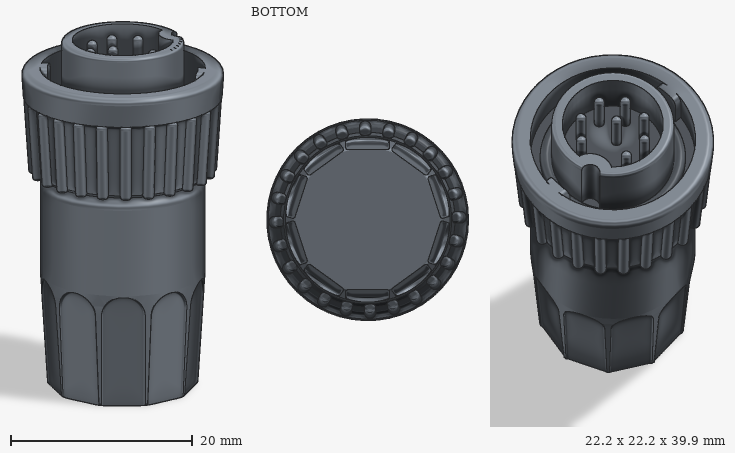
import cadquery as cq
import math

TOTAL_HEIGHT = 39.88
GRIP_TOP = 13.12
BODY_TOP = 24.13

BODY_DIAMETER = 18.15
BODY_RADIUS = BODY_DIAMETER / 2
BODY_TOP_FILLET = 1.1
GRIP_BASE_RADIUS = 8.25
GRIP_BASE_FILLET = 0.4
GRIP_SLOPE = (BODY_RADIUS - GRIP_BASE_RADIUS) / GRIP_TOP

FLAT_COUNT = 10
FLAT_APOTHEM = 7.7
FLAT_FILLET = 0.28
FLAT_HALF_WIDTH = 2.45
FLAT_TOP_GAP = 0.08
FLAT_STRAIGHT = GRIP_TOP - FLAT_HALF_WIDTH - FLAT_TOP_GAP
FLAT_CUT_DEPTH = 2.4
FLAT_OVERRUN = 1.2

NECK_RADIUS = 7.7

NUT_BOTTOM = 24.6
NUT_TOP = 36.6
NUT_DIAMETER = 22.2
NUT_RADIUS = NUT_DIAMETER / 2
NUT_TOP_FILLET = 0.75
NUT_SLOPE = 0.066
BAND_BOTTOM = 33.35
GROOVE_DEPTH = 0.75
BAND_FILLET = 0.6
NUT_BASE_CHAMFER = 0.35
NUT_BORE_RADIUS = 9.1
NUT_FLOOR = 32.6
NUT_CLOCKING = 66.0

RIB_COUNT = 24
RIB_RADIUS = 0.65
RIB_INSET = 0.05
RIB_BOTTOM_FILLET = 0.3
RIB_TOP_FILLET = 0.55
RIB_BAND_OVERLAP = 0.08

LUG_INNER_RADIUS = 8.3
LUG_WIDTH = 3.1
LUG_FILLET = 0.8
LUG_OVERLAP = 0.4

SEAL_RADIUS = 7.38
SEAL_SECTION_RADIUS = 0.65

SHELL_RADIUS = 6.75
SHELL_TOP_FILLET = 0.48
SHELL_BORE_RADIUS = 5.55
SHELL_FLOOR = 34.38
KEY_CENTRE = 6.78
KEY_RADIUS = 2.47
KEYWAY_RADIUS = 1.08

PIN_RADIUS = 0.55
PIN_TIP = 39.25
PIN_CIRCLE_RADIUS = 3.75
PIN_STEP = 45.0
OUTER_PIN_COUNT = 7
INNER_PIN_Y = -1.1
PIN_ROOT = 0.4


def cylinder(radius, bottom, top, x=0, y=0):
    return cq.Workplane("XY", origin=(x, y, bottom)).circle(radius).extrude(top - bottom)


def turn(solid, angle):
    return solid.rotate((0, 0, 0), (0, 0, 1), angle)


def nut_cone_radius(z):
    """Radius of the nut's outer taper at height z."""
    return NUT_RADIUS - NUT_SLOPE * (NUT_TOP - NUT_TOP_FILLET - z)


def make_body():
    """Tapered grip, straight body and neck, without the flats."""
    grip = (
        cq.Workplane("XZ")
        .polyline([(0, 0), (GRIP_BASE_RADIUS, 0), (BODY_RADIUS, GRIP_TOP), (0, GRIP_TOP)])
        .close()
        .revolve()
        .faces("<Z")
        .edges()
        .fillet(GRIP_BASE_FILLET)
    )
    body = cylinder(BODY_RADIUS, GRIP_TOP, BODY_TOP).faces(">Z").edges().fillet(BODY_TOP_FILLET)
    neck = cylinder(NECK_RADIUS, GRIP_TOP, NUT_FLOOR)
    return grip.union(body).union(neck)


def make_flat_cutter():
    """Arch-topped cutter on the -Y side, leaning with the grip taper."""
    cutter = (
        cq.Workplane("XY")
        .moveTo(-FLAT_HALF_WIDTH, -FLAT_OVERRUN)
        .lineTo(FLAT_HALF_WIDTH, -FLAT_OVERRUN)
        .lineTo(FLAT_HALF_WIDTH, FLAT_STRAIGHT)
        .threePointArc((0, FLAT_STRAIGHT + FLAT_HALF_WIDTH), (-FLAT_HALF_WIDTH, FLAT_STRAIGHT))
        .close()
        .extrude(FLAT_CUT_DEPTH)
        .faces("<Z")
        .edges()
        .fillet(FLAT_FILLET)
    )
    plane = cq.Plane(origin=(0, -FLAT_APOTHEM, 0), xDir=(1, 0, 0), normal=(0, -1, -GRIP_SLOPE))
    return cutter.val().moved(cq.Location(plane))


def make_nut_blank():
    """Turned nut: smooth band above a recessed taper, joined by a concave fillet."""
    groove_top = BAND_BOTTOM - BAND_FILLET
    groove_top_radius = nut_cone_radius(groove_top) - GROOVE_DEPTH
    groove_bottom_radius = nut_cone_radius(NUT_BOTTOM) - GROOVE_DEPTH
    arc_drop = BAND_FILLET * (1 - math.sqrt(0.5))
    return (
        cq.Workplane("XZ")
        .moveTo(0, NUT_BOTTOM)
        .lineTo(groove_bottom_radius - NUT_BASE_CHAMFER, NUT_BOTTOM)
        .lineTo(groove_bottom_radius, NUT_BOTTOM + NUT_BASE_CHAMFER)
        .lineTo(groove_top_radius, groove_top)
        .threePointArc(
            (groove_top_radius + arc_drop, BAND_BOTTOM - arc_drop),
            (groove_top_radius + BAND_FILLET, BAND_BOTTOM),
        )
        .lineTo(nut_cone_radius(BAND_BOTTOM), BAND_BOTTOM)
        .lineTo(nut_cone_radius(NUT_TOP), NUT_TOP)
        .lineTo(0, NUT_TOP)
        .close()
        .revolve()
        .faces(">Z")
        .edges()
        .fillet(NUT_TOP_FILLET)
    )


def make_rib():
    """Round rib along +X, leaning with the nut taper."""
    axis_radius = nut_cone_radius(NUT_BOTTOM) - RIB_RADIUS - RIB_INSET
    length = BAND_BOTTOM + RIB_BAND_OVERLAP - NUT_BOTTOM
    rib = cylinder(RIB_RADIUS, 0, length)
    rib = rib.faces("<Z").edges().fillet(RIB_BOTTOM_FILLET)
    rib = rib.faces(">Z").edges().fillet(RIB_TOP_FILLET)
    lean = math.degrees(math.atan(NUT_SLOPE))
    return rib.rotate((0, 0, 0), (0, 1, 0), lean).translate((axis_radius, 0, NUT_BOTTOM))


def make_lug():
    """Lug on the +X side of the nut bore, rounded along its two upper side edges."""
    outer_radius = NUT_BORE_RADIUS + LUG_OVERLAP
    lug = (
        cq.Workplane("XY", origin=(outer_radius / 2, 0, NUT_FLOOR))
        .rect(outer_radius, LUG_WIDTH)
        .extrude(NUT_TOP - NUT_FLOOR)
        .edges("|X and >Z")
        .fillet(LUG_FILLET)
    )
    ring = cylinder(outer_radius, NUT_FLOOR, NUT_TOP).cut(cylinder(LUG_INNER_RADIUS, NUT_FLOOR, NUT_TOP))
    return lug.intersect(ring)


def make_nut():
    nut = make_nut_blank()
    rib = make_rib()
    rib_pitch = 360 / RIB_COUNT
    for i in range(RIB_COUNT):
        nut = nut.union(turn(rib, NUT_CLOCKING + (i + 0.5) * rib_pitch))
    nut = nut.cut(cylinder(NUT_BORE_RADIUS, NUT_FLOOR, NUT_TOP))
    lug = make_lug()
    for angle in (NUT_CLOCKING, NUT_CLOCKING + 180):
        nut = nut.union(turn(lug, angle))
    return nut


def make_seal():
    """Sealing ring, half sunk in the nut floor."""
    ring = cq.Solid.makeTorus(SEAL_RADIUS, SEAL_SECTION_RADIUS)
    return ring.translate(cq.Vector(0, 0, NUT_FLOOR))


def make_shell():
    """Plug shell with a round internal key on the +Y side and a keyway outside it."""
    shell = cylinder(SHELL_RADIUS, NUT_FLOOR, TOTAL_HEIGHT).faces(">Z").edges().fillet(SHELL_TOP_FILLET)
    key = cylinder(KEY_RADIUS, SHELL_FLOOR, TOTAL_HEIGHT, y=KEY_CENTRE)
    bore = cylinder(SHELL_BORE_RADIUS, SHELL_FLOOR, TOTAL_HEIGHT).cut(key)
    keyway = cylinder(KEYWAY_RADIUS, NUT_FLOOR, TOTAL_HEIGHT, y=KEY_CENTRE)
    return shell.cut(bore).cut(keyway)


def make_pin(x, y):
    shank_top = PIN_TIP - PIN_RADIUS
    shank = cylinder(PIN_RADIUS, SHELL_FLOOR - PIN_ROOT, shank_top, x, y)
    tip = cq.Workplane("XY", origin=(x, y, shank_top)).sphere(PIN_RADIUS)
    return shank.union(tip)


def pin_positions():
    """Seven pins on a circle with the +Y place empty, and one near the middle."""
    positions = [(0, INNER_PIN_Y)]
    for i in range(OUTER_PIN_COUNT):
        angle = math.radians(90 + (i + 1) * PIN_STEP)
        positions.append((PIN_CIRCLE_RADIUS * math.cos(angle), PIN_CIRCLE_RADIUS * math.sin(angle)))
    return positions


body = make_body()
flat_cutter = make_flat_cutter()
for i in range(FLAT_COUNT):
    body = body.cut(cq.Workplane(turn(flat_cutter, i * 360 / FLAT_COUNT)))

result = body.union(make_nut()).union(make_seal()).union(make_shell())
for x, y in pin_positions():
    result = result.union(make_pin(x, y))